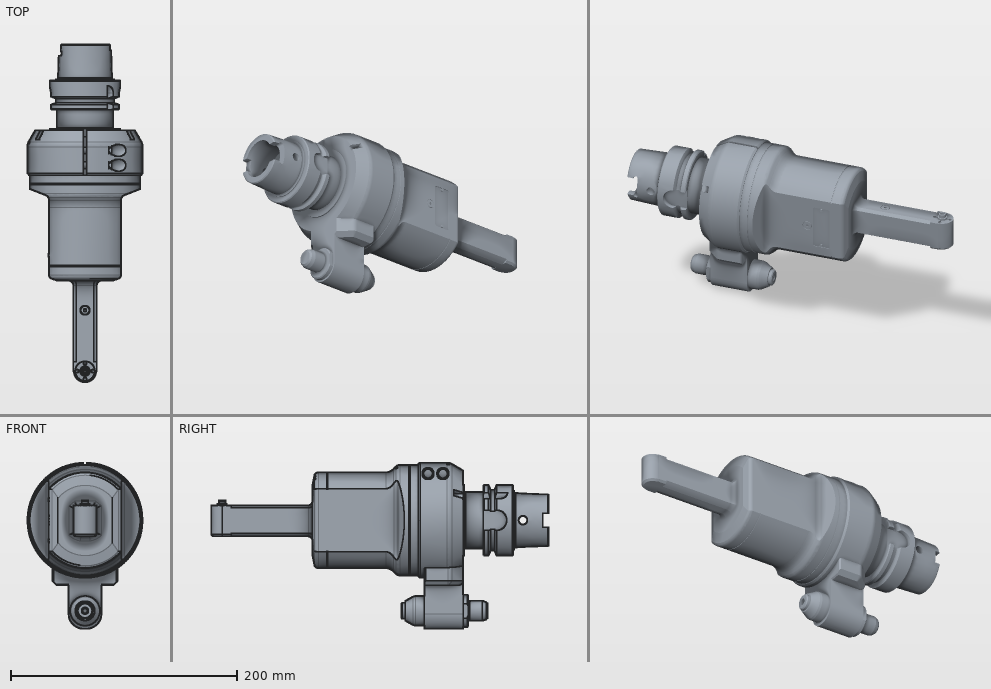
import cadquery as cq
import math


TOTAL_LENGTH = 299.0
OVERCUT = 3.0

TAPER_REAR_RADIUS = 23.0
TAPER_FRONT_RADIUS = 24.2
TAPER_CHAMFER = 1.0
RELIEF_START = 29.5
RELIEF_END = 30.8
RELIEF_DEPTH = 1.0
SHOULDER_RADIUS = 26.0
FLANGE_START = 31.7
FLANGE_END = 58.0
FLANGE_RADIUS = 31.5
FLANGE_CHAMFER = 1.0
GRIP_START = 46.3
GRIP_END = 53.5
GRIP_FLANK = 1.8
GRIP_RADIUS = 27.2
NECK_RADIUS = 25.0
NECK_GROOVE_START = 74.0
NECK_GROOVE_DEPTH = 0.5
SHANK_END = 89.7
SHANK_BORE_DIAMETER = 34.0
SHANK_BORE_DEPTH = 28.5
REAR_SLOT_WIDTH_LEFT = 17.3
REAR_SLOT_DEPTH_LEFT = 10.2
REAR_SLOT_WIDTH_RIGHT = 12.3
SLOT_RELIEF_DIAMETER = 4.2
REAR_SLOT_DEPTH_RIGHT = 5.5
CROSS_HOLE_DIAMETER = 7.5
CROSS_HOLE_STATION = 23.0
KEYWAY_START = 37.5
KEYWAY_WIDTH = 18.0
KEYWAY_FLOOR = 26.0
MARK_WALL = 19.7
MARK_FLOOR = 19.0
MARK_START = 36.5
MARK_RADIUS = 6.3

HUB_START = 74.8
HUB_REAR_RADIUS = 31.5
HUB_STEP = 82.0
HUB_RADIUS = 36.0
COLLAR_START = 115.7
COLLAR_RADIUS = 49.0
COLLAR_END = 132.0
SHOULDER_ROUND = 5.0
SHOULDER_HOLLOW = 9.3
BODY_RADIUS = 42.5
FRONT_ROUND_START = 204.0
FRONT_ROUND_END = 207.5
FRONT_ROUND_RADIUS = 40.0
FRONT_FACE = 209.3
FRONT_FACE_RADIUS = 31.0
SEAM_STATIONS = (123.0, 195.5)
SEAM_WIDTH = 1.2
SEAM_DEPTH = 0.45
FLAT_HALF_WIDTH = 32.0
FLAT_FRONT_HALF_WIDTH = 29.3
FLAT_FACE_HALF_WIDTH = 24.0
FLAT_START = 137.2
RAMP_START = 128.0
RAMP_END = 133.7
RAMP_END_HALF_WIDTH = 34.7
PLATE_START = 178.8
PLATE_END = 194.5
PLATE_HEIGHT = 39.5
PLATE_CORNER = 1.8
PLATE_DEPTH = 0.5
RIVET_DIAMETER = 2.6
RIVET_HEIGHT = 0.5
RIVET_OFFSET = 18.0
PLUG_DIAMETER = 8.5
PLUG_INNER_DIAMETER = 7.5
PLUG_GAP_DEPTH = 1.0
PLUG_SOCKET_DIAMETER = 2.5
BODY_PLUG_STATION = 173.5

ARM_HALF_WIDTH = 10.5
ARM_TOP = 13.2
ARM_BOTTOM = -14.5
ARM_TOP_FLAT = 7.8
ARM_SIDE_TOP = 11.0
ARM_BOTTOM_FLAT = 4.0
ARM_SIDE_BOTTOM = -11.5
ARM_ROOT_ROUND = 4.0
ARM_PLUG_STATION = 235.3
BEVEL_END = 281.0
TIP_RADIUS = 10.0
TIP_CHAMFER = 1.8
TIP_STATION = TOTAL_LENGTH - TIP_RADIUS

NUT_DIAMETER = 17.3
NUT_THICKNESS = 4.5
NUT_HOLE_DIAMETER = 3.0
NUT_HOLE_OFFSET = 7.2
NUT_SLOT_WIDTH = 1.2
NUT_SLOT_DEPTH = 1.5
STEM_BASE_DIAMETER = 8.5
STEM_BASE_TOP = 14.7
STEM_DIAMETER = 6.0
STEM_TOP = 17.5
STEM_BORE_DIAMETER = 4.2
STEM_BORE_DEPTH = 1.2
STEM_SOCKET_DIAMETER = 2.5
STEM_SOCKET_DEPTH = 3.0

RING_START = 76.0
RING_REAR_RADIUS = 44.0
RING_CONE_END = 86.0
RING_CONE_RADIUS = 50.0
RING_RADIUS = 50.98
RING_ROUND_END = 90.5
RING_CHAMFER = 1.8
RING_CHAMFER_DROP = 1.2
RING_SLIT_WIDTH = 2.7
SCREW_STATIONS = (94.0, 107.0)
SCREW_HEIGHT = 41.3
SCREW_BORE_DIAMETER = 10.5
SCREW_BORE_FLOOR = 21.0
SCREW_HEAD_DIAMETER = 8.0
SCREW_HEAD_FACE = 23.5
SCREW_SHANK_DIAMETER = 6.0
NOTCH_ANGLES = (30, 150)
NOTCH_WIDTH = 6.0
NOTCH_FLOOR = 42.0
NOTCH_END = 84.3

LUG_END = 110.3
LUG_HALF_WIDTH = 29.0
LUG_BEVEL_HALF_WIDTH = 27.5
LUG_REAR_HALF_WIDTH = 17.3
LUG_ROUND_END = 89.7
LUG_TOP = -37.5
LUG_BOTTOM = -57.7
LUG_BOTTOM_CHAMFER = 4.2
LUG_FRONT_CHAMFER = 1.2
LEG_HALF_WIDTH = 14.7
LEG_BOTTOM = RING_RADIUS - 147.0
LEG_ROUND = 13.5

PIN_HEIGHT = -80.0
PIN_REAR = 54.0
PIN_TIP_RADIUS = 6.3
PIN_TIP_END = 55.5
PIN_REAR_ROUND_END = 59.0
PIN_RADIUS = 9.0
PIN_UNDERCUT_START = 70.0
PIN_UNDERCUT_RADIUS = 8.5
PIN_COLLAR_START = 71.5
PIN_COLLAR_RADIUS = 14.5
PIN_COLLAR_CHAMFER = 1.0
PIN_COLLAR_FLAT = 13.0
PIN_HEAD_RADIUS = 13.2
PIN_HEAD_ROUND_START = 118.5
PIN_CONE_START = 120.5
PIN_CONE_START_RADIUS = 12.5
PIN_CONE_END = 127.5
PIN_CONE_END_RADIUS = 8.7
PIN_FRONT = 130.7
PIN_NOSE_RADIUS = 7.2
PIN_NOSE_CHAMFER = 1.0
PIN_HOLE_DIAMETER = 6.0
PIN_INNER_HOLE_DIAMETER = 4.2
PIN_HOLE_DEPTH = 1.5
PIN_INNER_HOLE_DEPTH = 4.5


def block(x_range, stations, z_range):
    """Box between two X values, two stations and two Z values."""
    (x0, x1), (s0, s1), (z0, z1) = x_range, stations, z_range
    return cq.Workplane("XY").box(x1 - x0, s1 - s0, z1 - z0, centered=False).translate((x0, -s1, z0))


def rod_y(diameter, s0, s1, z=0):
    """Cylinder parallel to the main axis between two stations."""
    solid = cq.Solid.makeCylinder(diameter / 2, s1 - s0, cq.Vector(0, -s0, z), cq.Vector(0, -1, 0))
    return cq.Workplane(solid)


def rod_x(diameter, x0, x1, station, z=0):
    """Cylinder along X between two X values."""
    solid = cq.Solid.makeCylinder(diameter / 2, x1 - x0, cq.Vector(x0, -station, z), cq.Vector(1, 0, 0))
    return cq.Workplane(solid)


def rod_z(diameter, z0, z1, station):
    """Cylinder along Z between two Z values, centred on X = 0."""
    solid = cq.Solid.makeCylinder(diameter / 2, z1 - z0, cq.Vector(0, -station, z0), cq.Vector(0, 0, 1))
    return cq.Workplane(solid)


def turned(profile):
    """Solid of revolution about the main axis from (station, radius) points."""
    rear, front = profile[0][0], profile[-1][0]
    points = [(0, -rear)] + [(r, -s) for s, r in profile] + [(0, -front)]
    return cq.Workplane("XY").polyline(points).close().revolve(360, (0, 0, 0), (0, 1, 0))


def keyway():
    """Round-ended driving keyway on the +X side of the flange."""
    centre = KEYWAY_START + KEYWAY_WIDTH / 2
    reach = FLANGE_RADIUS + OVERCUT
    round_end = rod_x(KEYWAY_WIDTH, KEYWAY_FLOOR, reach, centre)
    straight = block(
        (KEYWAY_FLOOR, reach), (centre, FLANGE_END), (-KEYWAY_WIDTH / 2, KEYWAY_WIDTH / 2)
    )
    return round_end.union(straight)


def orientation_notch():
    """Notch with a round end on the upper +X side of the flange."""
    centre = MARK_START + MARK_RADIUS
    round_end = rod_x(2 * MARK_RADIUS, MARK_WALL, FLANGE_RADIUS, centre, MARK_FLOOR + MARK_RADIUS)
    straight = block(
        (MARK_WALL, FLANGE_RADIUS), (centre, FLANGE_END), (MARK_FLOOR, MARK_FLOOR + 2 * MARK_RADIUS)
    )
    return round_end.union(straight)


def rear_slot(x_range, depth, width):
    """Driving slot across the rear end of the taper."""
    return block(x_range, (-OVERCUT, depth), (-width / 2, width / 2))


def make_shank():
    body = turned([
        (0, TAPER_REAR_RADIUS - TAPER_CHAMFER),
        (TAPER_CHAMFER, TAPER_REAR_RADIUS),
        (RELIEF_START, TAPER_FRONT_RADIUS),
        (RELIEF_START, TAPER_FRONT_RADIUS - RELIEF_DEPTH),
        (RELIEF_END, TAPER_FRONT_RADIUS - RELIEF_DEPTH),
        (RELIEF_END, SHOULDER_RADIUS),
        (FLANGE_START, SHOULDER_RADIUS),
        (FLANGE_START, FLANGE_RADIUS - FLANGE_CHAMFER),
        (FLANGE_START + FLANGE_CHAMFER, FLANGE_RADIUS),
        (GRIP_START, FLANGE_RADIUS),
        (GRIP_START + GRIP_FLANK, GRIP_RADIUS),
        (GRIP_END - GRIP_FLANK, GRIP_RADIUS),
        (GRIP_END, FLANGE_RADIUS),
        (FLANGE_END - FLANGE_CHAMFER, FLANGE_RADIUS),
        (FLANGE_END, FLANGE_RADIUS - FLANGE_CHAMFER),
        (FLANGE_END, NECK_RADIUS),
        (NECK_GROOVE_START, NECK_RADIUS),
        (NECK_GROOVE_START, NECK_RADIUS - NECK_GROOVE_DEPTH),
        (HUB_START, NECK_RADIUS - NECK_GROOVE_DEPTH),
        (HUB_START, NECK_RADIUS),
        (SHANK_END, NECK_RADIUS),
    ])
    body = body.cut(rod_y(SHANK_BORE_DIAMETER, -OVERCUT, SHANK_BORE_DEPTH))
    body = body.cut(rear_slot((-FLANGE_RADIUS, 0), REAR_SLOT_DEPTH_LEFT, REAR_SLOT_WIDTH_LEFT))
    body = body.cut(rear_slot((0, FLANGE_RADIUS), REAR_SLOT_DEPTH_RIGHT, REAR_SLOT_WIDTH_RIGHT))
    relief_station = REAR_SLOT_DEPTH_LEFT - SLOT_RELIEF_DIAMETER / 2
    for z in (-REAR_SLOT_WIDTH_LEFT / 2, REAR_SLOT_WIDTH_LEFT / 2):
        body = body.cut(rod_x(SLOT_RELIEF_DIAMETER, -FLANGE_RADIUS, 0, relief_station, z))
    body = body.cut(rod_x(CROSS_HOLE_DIAMETER, -FLANGE_RADIUS, FLANGE_RADIUS, CROSS_HOLE_STATION))
    body = body.cut(keyway()).cut(keyway().mirror("YZ"))
    return body.cut(orientation_notch())


def housing_turning():
    """Turned outside of the housing, from the hub to the front face."""
    slope = math.sqrt(0.5)
    cone_start = COLLAR_END + SHOULDER_ROUND * slope
    cone_start_radius = COLLAR_RADIUS - SHOULDER_ROUND * (1 - slope)
    cone_end_radius = BODY_RADIUS + SHOULDER_HOLLOW * (1 - slope)
    cone_end = cone_start + cone_start_radius - cone_end_radius
    body_start = cone_end + SHOULDER_HOLLOW * slope
    return (
        cq.Workplane("XY")
        .moveTo(0, -HUB_START)
        .lineTo(HUB_REAR_RADIUS, -HUB_START)
        .lineTo(HUB_REAR_RADIUS, -HUB_STEP)
        .lineTo(HUB_RADIUS, -HUB_STEP)
        .lineTo(HUB_RADIUS, -COLLAR_START)
        .lineTo(COLLAR_RADIUS, -COLLAR_START)
        .lineTo(COLLAR_RADIUS, -COLLAR_END)
        .tangentArcPoint((cone_start_radius, -cone_start), relative=False)
        .lineTo(cone_end_radius, -cone_end)
        .tangentArcPoint((BODY_RADIUS, -body_start), relative=False)
        .lineTo(BODY_RADIUS, -FRONT_ROUND_START)
        .tangentArcPoint((FRONT_ROUND_RADIUS, -FRONT_ROUND_END), relative=False)
        .lineTo(FRONT_FACE_RADIUS, -FRONT_FACE)
        .lineTo(0, -FRONT_FACE)
        .close()
        .revolve(360, (0, 0, 0), (0, 1, 0))
    )


def side_envelope():
    """Prism along Z whose outline gives the two flats and their ramps and rounded ends."""
    half = (
        cq.Workplane("XY")
        .moveTo(0, -HUB_START)
        .lineTo(COLLAR_RADIUS, -HUB_START)
        .lineTo(COLLAR_RADIUS, -RAMP_START)
        .lineTo(RAMP_END_HALF_WIDTH, -RAMP_END)
        .tangentArcPoint((FLAT_HALF_WIDTH, -FLAT_START), relative=False)
        .lineTo(FLAT_HALF_WIDTH, -FRONT_ROUND_START)
        .tangentArcPoint((FLAT_FRONT_HALF_WIDTH, -FRONT_ROUND_END), relative=False)
        .lineTo(FLAT_FACE_HALF_WIDTH, -FRONT_FACE)
        .lineTo(0, -FRONT_FACE)
        .close()
        .extrude(COLLAR_RADIUS + OVERCUT, both=True)
    )
    return half.union(half.mirror("YZ"))


def seam_groove(station):
    """Cutter for the seam groove, following the housing outline at that station."""
    slice_range = (station, station + SEAM_WIDTH)
    reach = (-COLLAR_RADIUS - OVERCUT, COLLAR_RADIUS + OVERCUT)
    radius = COLLAR_RADIUS if station < COLLAR_END else BODY_RADIUS
    core = rod_y(2 * (radius - SEAM_DEPTH), *slice_range)
    return block(reach, slice_range, reach).cut(core)


def arm():
    """Slim arm with bevelled top edges, curved bottom edges and a round tip."""
    inset = (ARM_HALF_WIDTH + ARM_BOTTOM_FLAT) / 2
    bulge = ARM_SIDE_BOTTOM + 0.65 * (ARM_BOTTOM - ARM_SIDE_BOTTOM)
    section = (
        cq.Workplane("XZ", origin=(0, -FRONT_FACE, 0))
        .moveTo(-ARM_TOP_FLAT, ARM_TOP)
        .lineTo(ARM_TOP_FLAT, ARM_TOP)
        .lineTo(ARM_HALF_WIDTH, ARM_SIDE_TOP)
        .lineTo(ARM_HALF_WIDTH, ARM_SIDE_BOTTOM)
        .threePointArc((inset, bulge), (ARM_BOTTOM_FLAT, ARM_BOTTOM))
        .lineTo(-ARM_BOTTOM_FLAT, ARM_BOTTOM)
        .threePointArc((-inset, bulge), (-ARM_HALF_WIDTH, ARM_SIDE_BOTTOM))
        .lineTo(-ARM_HALF_WIDTH, ARM_SIDE_TOP)
        .close()
        .extrude(BEVEL_END - FRONT_FACE)
    )
    square = block((-ARM_HALF_WIDTH, ARM_HALF_WIDTH), (BEVEL_END, TIP_STATION), (ARM_BOTTOM, ARM_TOP))
    square = square.faces("<Z").edges("|Y").chamfer(TIP_CHAMFER)
    tip = rod_z(2 * TIP_RADIUS, ARM_BOTTOM, ARM_TOP, TIP_STATION).faces("<Z").chamfer(TIP_CHAMFER)
    return section.union(square).union(tip)


def screw_plug(rod, surface, inward, station):
    """Cutter for the gap around a flush screw plug and for its socket."""
    ends = sorted((surface, surface + inward * PLUG_GAP_DEPTH))
    gap = rod(PLUG_DIAMETER, *ends, station).cut(rod(PLUG_INNER_DIAMETER, *ends, station))
    return gap.union(rod(PLUG_SOCKET_DIAMETER, *ends, station))


def name_plate_recess():
    middle = (PLATE_START + PLATE_END) / 2
    return (
        cq.Workplane("YZ", origin=(-FLAT_HALF_WIDTH, -middle, 0))
        .rect(PLATE_END - PLATE_START, PLATE_HEIGHT)
        .extrude(PLATE_DEPTH)
        .edges("|X")
        .fillet(PLATE_CORNER)
    )


def make_housing():
    body = housing_turning().intersect(side_envelope())
    for station in SEAM_STATIONS:
        body = body.cut(seam_groove(station))
    body = body.union(arm())
    root = cq.selectors.BoxSelector(
        (-ARM_HALF_WIDTH - 0.3, -FRONT_FACE - 0.3, ARM_BOTTOM - 0.3),
        (ARM_HALF_WIDTH + 0.3, -FRONT_FACE + 0.3, ARM_TOP + 0.3),
        boundingbox=True,
    )
    body = body.edges(root).fillet(ARM_ROOT_ROUND)
    body = body.cut(name_plate_recess())
    rivet_ends = (-FLAT_HALF_WIDTH - RIVET_HEIGHT, -FLAT_HALF_WIDTH + PLATE_DEPTH)
    for z in (-RIVET_OFFSET, RIVET_OFFSET):
        body = body.union(rod_x(RIVET_DIAMETER, *rivet_ends, (PLATE_START + PLATE_END) / 2, z))
    body = body.cut(screw_plug(rod_x, -FLAT_HALF_WIDTH, 1, BODY_PLUG_STATION))
    body = body.cut(screw_plug(rod_z, ARM_TOP, -1, ARM_PLUG_STATION))
    body = body.cut(rod_y(2 * NECK_RADIUS, HUB_START, SHANK_END))
    return body.cut(rod_z(NUT_DIAMETER, ARM_TOP - NUT_THICKNESS, ARM_TOP, TIP_STATION))


def make_tool_spindle():
    nut = rod_z(NUT_DIAMETER, ARM_TOP - NUT_THICKNESS, ARM_TOP, TIP_STATION)
    slot_floor = ARM_TOP - NUT_SLOT_DEPTH
    slot = block(
        (STEM_BASE_DIAMETER / 2, NUT_HOLE_OFFSET),
        (TIP_STATION - NUT_SLOT_WIDTH / 2, TIP_STATION + NUT_SLOT_WIDTH / 2),
        (slot_floor, ARM_TOP),
    )
    hole = rod_z(NUT_HOLE_DIAMETER, slot_floor, ARM_TOP, TIP_STATION).translate((NUT_HOLE_OFFSET, 0, 0))
    key_hole = slot.union(hole)
    for angle in (0, 90, 180, 270):
        nut = nut.cut(key_hole.rotate((0, -TIP_STATION, 0), (0, -TIP_STATION, 1), angle))
    base = rod_z(STEM_BASE_DIAMETER, ARM_TOP, STEM_BASE_TOP, TIP_STATION)
    stem = rod_z(STEM_DIAMETER, STEM_BASE_TOP, STEM_TOP, TIP_STATION)
    bore = rod_z(STEM_BORE_DIAMETER, STEM_TOP - STEM_BORE_DEPTH, STEM_TOP, TIP_STATION)
    socket = rod_z(STEM_SOCKET_DIAMETER, STEM_TOP - STEM_SOCKET_DEPTH, STEM_TOP, TIP_STATION)
    return nut.union(base).union(stem).cut(bore).cut(socket)


def ring_turning():
    """Turned ring with a conical, rounded rear edge and a stepped bore for the housing hub."""
    return (
        cq.Workplane("XY")
        .moveTo(HUB_REAR_RADIUS, -RING_START)
        .lineTo(RING_REAR_RADIUS, -RING_START)
        .lineTo(RING_CONE_RADIUS, -RING_CONE_END)
        .tangentArcPoint((RING_RADIUS, -RING_ROUND_END), relative=False)
        .lineTo(RING_RADIUS, RING_CHAMFER - COLLAR_START)
        .lineTo(RING_RADIUS - RING_CHAMFER_DROP, -COLLAR_START)
        .lineTo(HUB_RADIUS, -COLLAR_START)
        .lineTo(HUB_RADIUS, -HUB_STEP)
        .lineTo(HUB_REAR_RADIUS, -HUB_STEP)
        .close()
        .revolve(360, (0, 0, 0), (0, 1, 0))
    )


def torque_arm():
    """Wide lug under the ring with a narrow round-ended leg that carries the stop pin."""
    half = (
        cq.Workplane("XY", origin=(0, 0, LUG_BOTTOM))
        .moveTo(0, -RING_START)
        .lineTo(LUG_REAR_HALF_WIDTH, -RING_START)
        .lineTo(LUG_BEVEL_HALF_WIDTH, -RING_CONE_END)
        .tangentArcPoint((LUG_HALF_WIDTH, -LUG_ROUND_END), relative=False)
        .lineTo(LUG_HALF_WIDTH, -LUG_END)
        .lineTo(0, -LUG_END)
        .close()
        .extrude(LUG_TOP - LUG_BOTTOM)
    )
    half = half.faces("<Z").edges(">X").chamfer(LUG_BOTTOM_CHAMFER)
    half = half.faces("<Y").edges(">X or <Z").chamfer(LUG_FRONT_CHAMFER)
    lug = half.union(half.mirror("YZ"))
    leg = block((-LEG_HALF_WIDTH, LEG_HALF_WIDTH), (RING_START, LUG_END), (LEG_BOTTOM, LUG_TOP))
    leg = leg.faces("<Z").edges("|Y").fillet(LEG_ROUND)
    return lug.union(leg)


def ring_notch(angle):
    """Radial notch in the conical rear edge, at an angle from +X towards +Z."""
    notch = block(
        (NOTCH_FLOOR, RING_RADIUS), (RING_START, NOTCH_END), (-NOTCH_WIDTH / 2, NOTCH_WIDTH / 2)
    )
    return notch.rotate((0, 0, 0), (0, 1, 0), -angle)


def make_clamp_ring():
    body = ring_turning().union(torque_arm())
    half_slit = RING_SLIT_WIDTH / 2
    body = body.cut(block((-half_slit, half_slit), (RING_START, COLLAR_START), (0, RING_RADIUS + OVERCUT)))
    for station in SCREW_STATIONS:
        body = body.cut(rod_x(SCREW_BORE_DIAMETER, SCREW_BORE_FLOOR, RING_RADIUS, station, SCREW_HEIGHT))
        body = body.union(
            rod_x(SCREW_HEAD_DIAMETER, SCREW_BORE_FLOOR, SCREW_HEAD_FACE, station, SCREW_HEIGHT)
        )
        body = body.union(rod_x(SCREW_SHANK_DIAMETER, -half_slit, half_slit, station, SCREW_HEIGHT))
    for angle in NOTCH_ANGLES:
        body = body.cut(ring_notch(angle))
    return body.cut(rod_y(2 * PIN_RADIUS, RING_START, LUG_END, PIN_HEIGHT))


def make_stop_pin():
    body = turned([
        (PIN_REAR, PIN_TIP_RADIUS),
        (PIN_TIP_END, PIN_TIP_RADIUS + PIN_TIP_END - PIN_REAR),
        (PIN_REAR_ROUND_END, PIN_RADIUS),
        (PIN_UNDERCUT_START, PIN_RADIUS),
        (PIN_UNDERCUT_START, PIN_UNDERCUT_RADIUS),
        (PIN_COLLAR_START, PIN_UNDERCUT_RADIUS),
        (PIN_COLLAR_START, PIN_COLLAR_RADIUS - PIN_COLLAR_CHAMFER),
        (PIN_COLLAR_START + PIN_COLLAR_CHAMFER, PIN_COLLAR_RADIUS),
        (RING_START, PIN_COLLAR_RADIUS),
        (RING_START, PIN_RADIUS),
        (LUG_END, PIN_RADIUS),
        (LUG_END, PIN_HEAD_RADIUS),
        (PIN_HEAD_ROUND_START, PIN_HEAD_RADIUS),
        (PIN_CONE_START, PIN_CONE_START_RADIUS),
        (PIN_CONE_END, PIN_CONE_END_RADIUS),
        (PIN_CONE_END, PIN_NOSE_RADIUS),
        (PIN_FRONT - PIN_NOSE_CHAMFER, PIN_NOSE_RADIUS),
        (PIN_FRONT, PIN_NOSE_RADIUS - PIN_NOSE_CHAMFER),
    ])
    collar_stations = (PIN_COLLAR_START, RING_START)
    z_range = (-PIN_COLLAR_RADIUS, PIN_COLLAR_RADIUS)
    flat = block((PIN_COLLAR_FLAT, PIN_COLLAR_RADIUS), collar_stations, z_range)
    body = body.cut(flat).cut(flat.mirror("YZ"))
    body = body.cut(rod_y(PIN_HOLE_DIAMETER, PIN_FRONT - PIN_HOLE_DEPTH, PIN_FRONT))
    body = body.cut(rod_y(PIN_INNER_HOLE_DIAMETER, PIN_FRONT - PIN_INNER_HOLE_DEPTH, PIN_FRONT))
    return body.translate((0, 0, PIN_HEIGHT))


shank = make_shank()
housing = make_housing()
tool_spindle = make_tool_spindle()
clamp_ring = make_clamp_ring()
stop_pin = make_stop_pin()

bodies = (shank, housing, tool_spindle, clamp_ring, stop_pin)
result = cq.Compound.makeCompound([body.solids().val() for body in bodies])